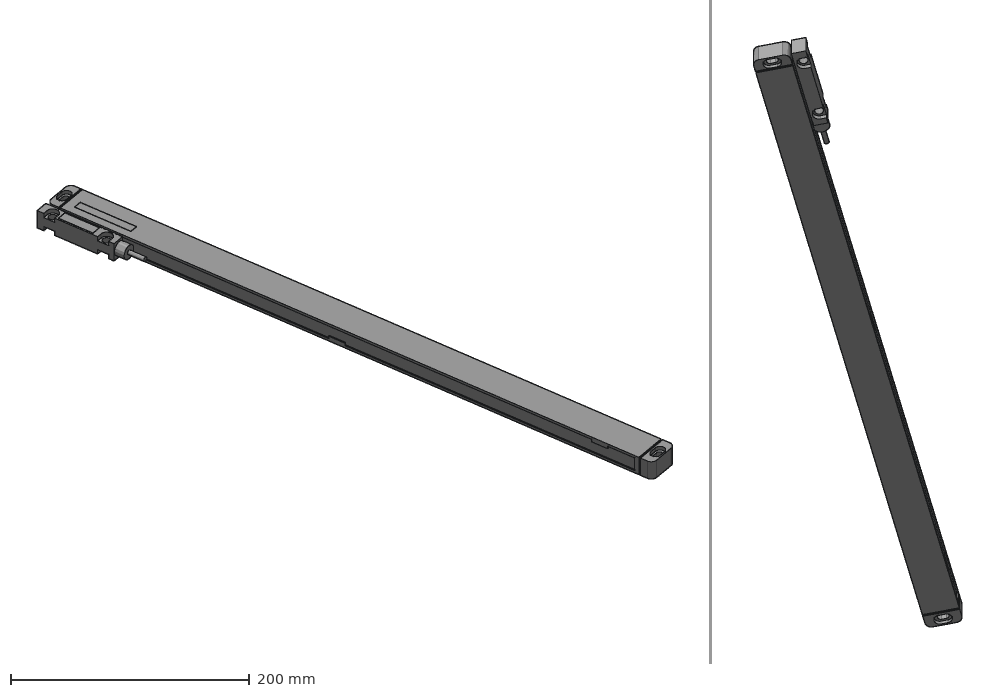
import cadquery as cq

LENGTH = 625.0
HEIGHT = 18.0
TOTAL_WIDTH = 46.0

RAIL_FRONT = 14.5
RAIL_WIDTH = TOTAL_WIDTH - RAIL_FRONT
RAIL_MID_Y = RAIL_FRONT + RAIL_WIDTH / 2
LEFT_CAP_LENGTH = 12.0
RIGHT_CAP_LENGTH = 13.0
CAP_CORNER_RADIUS = 5.5
JOINT_WIDTH = 1.0
JOINT_DEPTH = 0.5

SLOT_INSET = 6.0
SLOT_LENGTH = 10.0
SLOT_WIDTH = 5.5
SLOT_RECESS_LENGTH = 15.5
SLOT_RECESS_WIDTH = 9.5
SLOT_RECESS_DEPTH = 4.0

CHANNEL_LIP = 2.5
CHANNEL_DEPTH = 1.0
CHANNEL_END_INSET = 19.0
CLIP_LENGTH = 17.0
CLIP_HEIGHT = 2.5
TOP_CLIP_X = 570.0
BOTTOM_CLIP_X = 299.0

LABEL_DEPTH = 0.3
RAIL_LABEL_LENGTH = 58.0
RAIL_LABEL_WIDTH = 8.0
RAIL_LABEL_X = 22.5
RAIL_LABEL_Y = 22.5
HEAD_LABEL_LENGTH = 35.5
HEAD_LABEL_WIDTH = 9.5
HEAD_LABEL_X = 20.5
HEAD_LABEL_Y = 2.0

HEAD_LENGTH = 79.5
HEAD_WIDTH = 12.5
HOLE_POSITIONS_X = (12.5, 68.0)
HOLE_Y = 5.0
HOLE_DIAMETER = 7.5
HOLE_RECESS_DIAMETER = 11.0
HOLE_RECESS_DEPTH = 4.5

CABLE_Y = 7.5
CABLE_Z = HEIGHT / 2
OUTLET_DIAMETER = 14.0
OUTLET_LENGTH = 10.0
CABLE_DIAMETER = 4.5
CABLE_END_X = 106.0


def block(length, width, height, x, y, z):
    """Box with its lowest corner at (x, y, z)."""
    return cq.Workplane("XY").box(length, width, height, centered=False).translate((x, y, z))


def cap_slot(x):
    """Cutter for a through slot along Y with a recess at both faces."""
    def slot(length, width, z, height):
        return (
            cq.Workplane("XY", origin=(x, RAIL_MID_Y, z))
            .slot2D(length, width, 90)
            .extrude(height)
        )

    cutter = slot(SLOT_LENGTH, SLOT_WIDTH, 0, HEIGHT)
    for z in (0, HEIGHT - SLOT_RECESS_DEPTH):
        recess = slot(SLOT_RECESS_LENGTH, SLOT_RECESS_WIDTH, z, SLOT_RECESS_DEPTH)
        cutter = cutter.union(recess)
    return cutter


def joint_groove(x):
    """Cutter for the shallow groove around the rail where a cap meets the profile."""
    core_width = RAIL_WIDTH - 2 * JOINT_DEPTH
    core_height = HEIGHT - 2 * JOINT_DEPTH
    core = block(JOINT_WIDTH, core_width, core_height, x, RAIL_FRONT + JOINT_DEPTH, JOINT_DEPTH)
    return block(JOINT_WIDTH, RAIL_WIDTH, HEIGHT, x, RAIL_FRONT, 0).cut(core)


def front_channel():
    """Cutter for the channel in the rail front, leaving the two clips standing."""
    start = LEFT_CAP_LENGTH + JOINT_WIDTH
    length = LENGTH - CHANNEL_END_INSET - start
    height = HEIGHT - 2 * CHANNEL_LIP
    cutter = block(length, CHANNEL_DEPTH, height, start, RAIL_FRONT, CHANNEL_LIP)
    top_clip_z = HEIGHT - CHANNEL_LIP - CLIP_HEIGHT
    for x, z in ((TOP_CLIP_X, top_clip_z), (BOTTOM_CLIP_X, CHANNEL_LIP)):
        clip = block(CLIP_LENGTH, CHANNEL_DEPTH, CLIP_HEIGHT, x - CLIP_LENGTH / 2, RAIL_FRONT, z)
        cutter = cutter.cut(clip)
    return cutter


def label_recess(length, width, x, y):
    """Cutter for a shallow rectangle in the top face."""
    return block(length, width, LABEL_DEPTH, x, y, HEIGHT - LABEL_DEPTH)


def make_rail():
    rail = block(LENGTH, RAIL_WIDTH, HEIGHT, 0, RAIL_FRONT, 0).edges("|Z").fillet(CAP_CORNER_RADIUS)
    for x in (SLOT_INSET, LENGTH - SLOT_INSET):
        rail = rail.cut(cap_slot(x))
    for x in (LEFT_CAP_LENGTH, LENGTH - RIGHT_CAP_LENGTH - JOINT_WIDTH):
        rail = rail.cut(joint_groove(x))
    rail = rail.cut(front_channel())
    return rail.cut(label_recess(RAIL_LABEL_LENGTH, RAIL_LABEL_WIDTH, RAIL_LABEL_X, RAIL_LABEL_Y))


def head_hole(x):
    """Cutter for a through hole with a recess, open to the front, at both faces."""
    cutter = cq.Workplane("XY", origin=(x, HOLE_Y, 0)).circle(HOLE_DIAMETER / 2).extrude(HEIGHT)
    for z in (0, HEIGHT - HOLE_RECESS_DEPTH):
        seat = (
            cq.Workplane("XY", origin=(x, HOLE_Y, z))
            .circle(HOLE_RECESS_DIAMETER / 2)
            .extrude(HOLE_RECESS_DEPTH)
        )
        mouth_x = x - HOLE_RECESS_DIAMETER / 2
        mouth = block(HOLE_RECESS_DIAMETER, HOLE_Y, HOLE_RECESS_DEPTH, mouth_x, 0, z)
        cutter = cutter.union(seat).union(mouth)
    return cutter


def cylinder_x(diameter, start, end):
    """Cylinder on the cable axis between two X positions."""
    return (
        cq.Workplane("YZ", origin=(start, CABLE_Y, CABLE_Z))
        .circle(diameter / 2)
        .extrude(end - start)
    )


def make_head():
    outlet_end = HEAD_LENGTH + OUTLET_LENGTH
    head = block(HEAD_LENGTH, HEAD_WIDTH, HEIGHT, 0, 0, 0)
    for x in HOLE_POSITIONS_X:
        head = head.cut(head_hole(x))
    head = head.cut(label_recess(HEAD_LABEL_LENGTH, HEAD_LABEL_WIDTH, HEAD_LABEL_X, HEAD_LABEL_Y))
    head = head.union(cylinder_x(OUTLET_DIAMETER, HEAD_LENGTH, outlet_end))
    return head.union(cylinder_x(CABLE_DIAMETER, outlet_end, CABLE_END_X))


rail = make_rail()
head = make_head()
result = cq.Compound.makeCompound([rail.val(), head.val()])